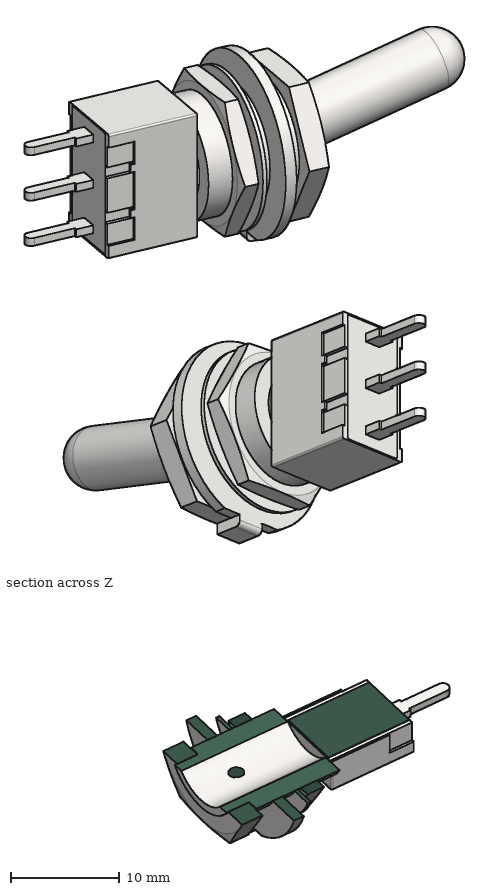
import cadquery as cq
import math


BUSHING_D = 12.0
BUSHING_LENGTH = 12.0
BORE_D = 8.4
NECK_D = 10.1

NUT_FLATS = 13.9
NUT_CHAMFER_D = 13.8
NUT_CHAMFER_ANGLE = 13.0
FRONT_NUT_BACK_Y = 9.45
FRONT_NUT_THICKNESS = 2.3
BACK_NUT_BACK_Y = 2.5
BACK_NUT_THICKNESS = 1.9

LOCK_WASHER_D = 15.8
LOCK_WASHER_BACK_Y = 4.7
LOCK_WASHER_THICKNESS = 0.4

KEY_WASHER_D = 18.2
KEY_WASHER_BACK_Y = 6.4
KEY_WASHER_THICKNESS = 1.15
KEY_WASHER_BOTTOM = 9.5
KEY_TAB_WIDTH = 2.9
KEY_TAB_REACH = 2.95
KEY_TAB_THICKNESS = 1.1
KEY_BEND_RADIUS = 0.55

LEVER_D = 6.0
LEVER_ANGLE = 12.3
LEVER_PIVOT_Y = 7.95
LEVER_TIP_Y = 29.55

CASE_WIDTH = 7.85
CASE_HEIGHT = 12.85
CASE_LENGTH = 9.35
CASE_EDGE_RADIUS = 0.2
CASE_FRONT_WALL = 0.2
SIDE_WALL = 0.7
RECESS_DEPTH = 0.27
RECESS_LENGTH = 2.75
RECESS_HEIGHT = 10.15
SLOT_HEIGHT = 1.15
LIP_HEIGHT = 0.8
LIP_LENGTH = 0.4

BASE_HEIGHT = 12.55
BASE_CORNER_RADIUS = 0.2
PIN_PITCH = 4.7
PIN_THICKNESS = 0.8
PIN_SHOULDER_WIDTH = 1.78
PIN_SHOULDER_LENGTH = 1.78
PIN_WIDTH = 1.25
PIN_LENGTH = 6.65

BASE_WIDTH = CASE_WIDTH - 2 * SIDE_WALL
SLOT_OFFSETS = (-PIN_PITCH / 2, PIN_PITCH / 2)


def section_at(y):
    """Sketch plane across Y at the given place; it extrudes towards +Y."""
    return cq.Workplane(cq.Plane(origin=(0, y, 0), xDir=(1, 0, 0), normal=(0, 1, 0)))


def y_box(width, height, back_y, front_y, x=0.0, z=0.0):
    """Block centred on (x, z) that spans back_y to front_y."""
    length = front_y - back_y
    return cq.Workplane("XY").box(width, length, height).translate((x, back_y + length / 2, z))


def make_bushing():
    """Bored sleeve with a narrower neck that carries the front nut."""
    body_length = FRONT_NUT_BACK_Y
    body = section_at(0).circle(BUSHING_D / 2).extrude(body_length)
    neck = section_at(body_length).circle(NECK_D / 2).extrude(BUSHING_LENGTH - body_length)
    bore = section_at(0).circle(BORE_D / 2).extrude(BUSHING_LENGTH)
    return body.union(neck).cut(bore)


def make_nut(back_y, thickness, hole_d, chamfer_back):
    """Hexagon nut with two corners on X; the front is always chamfered."""
    corner_d = NUT_FLATS / math.cos(math.radians(30))
    hexagon = section_at(back_y).polygon(6, corner_d).circle(hole_d / 2).extrude(thickness)

    front_y = back_y + thickness
    corner_r = corner_d / 2
    face_r = NUT_CHAMFER_D / 2
    drop = (corner_r - face_r) * math.tan(math.radians(NUT_CHAMFER_ANGLE))
    outline = [(0, front_y), (face_r, front_y), (corner_r, front_y - drop)]
    if chamfer_back:
        outline += [(corner_r, back_y + drop), (face_r, back_y)]
    else:
        outline += [(corner_r, back_y)]
    outline += [(0, back_y)]
    blank = cq.Workplane("XY").polyline(outline).close().revolve(360, (0, 0, 0), (0, 1, 0))
    return hexagon.intersect(blank)


def make_lock_washer():
    """Thin plain ring in front of the back nut."""
    ring = section_at(LOCK_WASHER_BACK_Y).circle(LOCK_WASHER_D / 2).circle(BUSHING_D / 2)
    return ring.extrude(LOCK_WASHER_THICKNESS)


def make_key_washer():
    """Flat-bottomed washer with a tab folded forward from the flat."""
    back_y = KEY_WASHER_BACK_Y
    front_y = back_y + KEY_WASHER_THICKNESS
    flat_z = -KEY_WASHER_BOTTOM + KEY_TAB_THICKNESS

    disc = section_at(back_y).circle(KEY_WASHER_D / 2).extrude(KEY_WASHER_THICKNESS)
    below_flat = y_box(KEY_WASHER_D, KEY_WASHER_D, back_y, front_y, z=flat_z - KEY_WASHER_D / 2)
    tab_z = flat_z - KEY_TAB_THICKNESS / 2
    tab = y_box(KEY_TAB_WIDTH, KEY_TAB_THICKNESS, back_y, back_y + KEY_TAB_REACH, z=tab_z)
    tab = tab.edges("|X and <Y and <Z").fillet(KEY_BEND_RADIUS)
    hole = section_at(back_y).circle(BUSHING_D / 2).extrude(KEY_WASHER_THICKNESS)
    return disc.cut(below_flat).union(tab).cut(hole)


def make_lever():
    """Straight rod with a ball at its pivot and at its tip, tilted towards +Z."""
    radius = LEVER_D / 2
    rod_length = (LEVER_TIP_Y - radius - LEVER_PIVOT_Y) / math.cos(math.radians(LEVER_ANGLE))
    profile = (
        cq.Workplane("XY")
        .moveTo(0, -radius)
        .radiusArc((radius, 0), -radius)
        .lineTo(radius, rod_length)
        .radiusArc((0, rod_length + radius), -radius)
        .close()
    )
    rod = profile.revolve(360, (0, 0, 0), (0, 1, 0))
    return rod.rotate((0, 0, 0), (1, 0, 0), LEVER_ANGLE).translate((0, LEVER_PIVOT_Y, 0))


def make_case():
    """Sheath around the terminal base, open at the back."""
    case = y_box(CASE_WIDTH, CASE_HEIGHT, -CASE_LENGTH, 0)
    case = case.edges("|Y or >Y").fillet(CASE_EDGE_RADIUS)
    case = case.cut(make_base_block())

    recess_front_y = -CASE_LENGTH + RECESS_LENGTH
    inner_wall = SIDE_WALL - RECESS_DEPTH
    for side in (-1, 1):
        recess_x = side * (CASE_WIDTH - RECESS_DEPTH) / 2
        recess = y_box(RECESS_DEPTH, RECESS_HEIGHT, -CASE_LENGTH, recess_front_y, x=recess_x)
        for z in SLOT_OFFSETS:
            lip_back_y = recess_front_y - LIP_LENGTH
            lip = y_box(RECESS_DEPTH, LIP_HEIGHT, lip_back_y, recess_front_y, x=recess_x, z=z)
            recess = recess.cut(lip)
        case = case.cut(recess)

        slot_x = side * (BASE_WIDTH + inner_wall) / 2
        for z in SLOT_OFFSETS:
            case = case.cut(y_box(inner_wall, SLOT_HEIGHT, -CASE_LENGTH, 0, x=slot_x, z=z))
    return case


def make_base_block():
    """Block of the terminal base, which also shapes the cavity of the case."""
    block = y_box(BASE_WIDTH, BASE_HEIGHT, -CASE_LENGTH, -CASE_FRONT_WALL)
    return block.edges("|Y").fillet(BASE_CORNER_RADIUS)


def make_pin(z):
    """Flat terminal with a wide shoulder at its root and a round end."""
    half_shoulder = PIN_SHOULDER_WIDTH / 2
    half_width = PIN_WIDTH / 2
    root_y = -CASE_LENGTH
    shoulder_y = root_y - PIN_SHOULDER_LENGTH
    tip_y = root_y - PIN_LENGTH
    return (
        cq.Workplane("XY", origin=(0, 0, z - PIN_THICKNESS / 2))
        .moveTo(-half_shoulder, root_y)
        .lineTo(-half_shoulder, shoulder_y)
        .lineTo(-half_width, shoulder_y)
        .lineTo(-half_width, tip_y + half_width)
        .threePointArc((0, tip_y), (half_width, tip_y + half_width))
        .lineTo(half_width, shoulder_y)
        .lineTo(half_shoulder, shoulder_y)
        .lineTo(half_shoulder, root_y)
        .close()
        .extrude(PIN_THICKNESS)
    )


def make_base():
    """Insulating block with its three terminals moulded in."""
    base = make_base_block()
    for z in (-PIN_PITCH, 0, PIN_PITCH):
        base = base.union(make_pin(z))
    return base


bushing = make_bushing()
front_nut = make_nut(FRONT_NUT_BACK_Y, FRONT_NUT_THICKNESS, NECK_D, chamfer_back=False)
back_nut = make_nut(BACK_NUT_BACK_Y, BACK_NUT_THICKNESS, BUSHING_D, chamfer_back=True)
lock_washer = make_lock_washer()
key_washer = make_key_washer()
lever = make_lever()
case = make_case()
base = make_base()

result = cq.Compound.makeCompound([
    bushing.solids().val(),
    front_nut.solids().val(),
    back_nut.solids().val(),
    lock_washer.solids().val(),
    key_washer.solids().val(),
    lever.solids().val(),
    case.solids().val(),
    base.solids().val(),
])